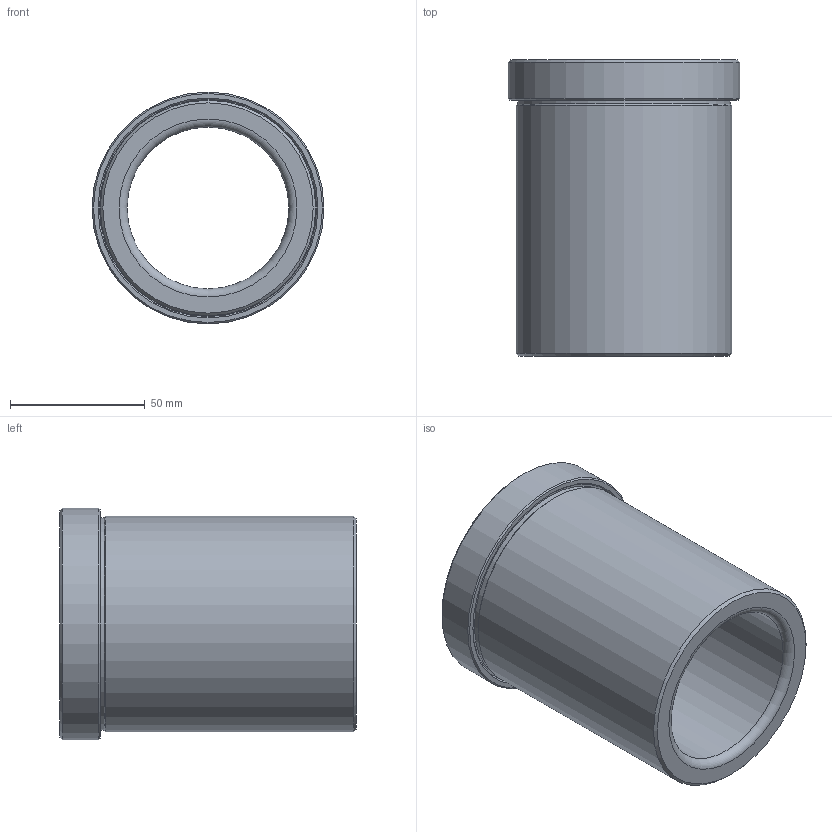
import cadquery as cq
import math


flange_radius = 43.0
body_radius = 40.0
bore_radius = 30.0
flange_thickness = 15.0
body_length = 95.0

flange_end_chamfer = 1.0
flange_seat_chamfer = 0.5
relief_depth = 0.5
relief_width = 1.95
relief_ramp = 0.5
face_relief_depth = 0.5
face_relief_reach = 0.8
end_chamfer = 1.0
bore_mouth_radius = 3.0

body_end = -body_length
relief_radius = body_radius - relief_depth
face_relief_radius = body_radius + face_relief_reach


def wall_profile():
    """Half section of the bushing wall: X is the radius, Y runs along the axis."""
    mouth_center_x = bore_radius + bore_mouth_radius
    mouth_center_y = body_end + bore_mouth_radius
    mouth_mid_offset = bore_mouth_radius * math.sqrt(0.5)
    mouth_mid = (mouth_center_x - mouth_mid_offset, mouth_center_y - mouth_mid_offset)
    return (
        cq.Workplane("XY")
        .moveTo(bore_radius, flange_thickness)
        .lineTo(flange_radius - flange_end_chamfer, flange_thickness)
        .lineTo(flange_radius, flange_thickness - flange_end_chamfer)
        .lineTo(flange_radius, flange_seat_chamfer)
        .lineTo(flange_radius - flange_seat_chamfer, 0)
        .lineTo(face_relief_radius, 0)
        .lineTo(face_relief_radius - face_relief_depth, face_relief_depth)
        .lineTo(relief_radius, face_relief_depth)
        .lineTo(relief_radius, relief_ramp - relief_width)
        .lineTo(body_radius, -relief_width)
        .lineTo(body_radius, body_end + end_chamfer)
        .lineTo(body_radius - end_chamfer, body_end)
        .lineTo(mouth_center_x, body_end)
        .threePointArc(mouth_mid, (bore_radius, mouth_center_y))
        .close()
    )


result = wall_profile().revolve(360, (0, 0, 0), (0, 1, 0))